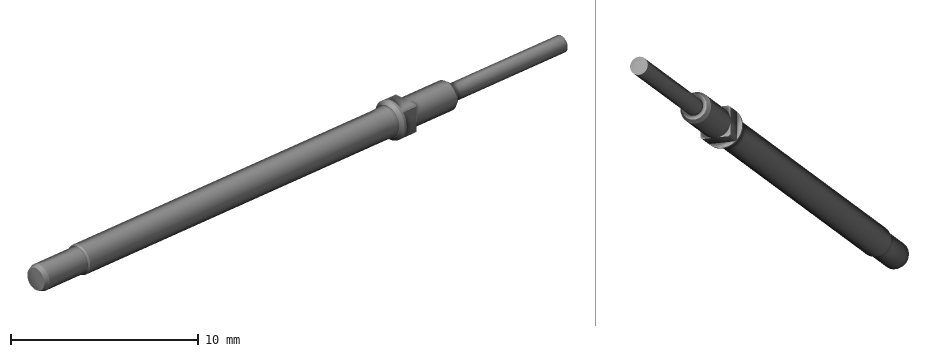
import cadquery as cq

LENGTH = 38.8
REAR_END = LENGTH / 2
FRONT_END = -LENGTH / 2

TAIL_DIAMETER = 1.0
BODY_DIAMETER = 1.75
COLLAR_DIAMETER = 2.3
TAPER_DIAMETER = 1.82
TIP_DIAMETER = 1.55

TAIL_LENGTH = 8.3
REAR_BODY_LENGTH = 3.2
SQUARE_LENGTH = 1.0
COLLAR_LENGTH = 0.35
TAPER_LENGTH = 0.65
TIP_LENGTH = 3.1

SQUARE_SIZE = 1.7

BODY_REAR_CHAMFER_LENGTH = 0.25
BODY_REAR_CHAMFER_DEPTH = 0.15
BODY_FRONT_CHAMFER = 0.08
COLLAR_CHAMFER = 0.2
TIP_CHAMFER_LENGTH = 0.27
TIP_CHAMFER_DEPTH = 0.1

TAIL_RADIUS = TAIL_DIAMETER / 2
BODY_RADIUS = BODY_DIAMETER / 2
COLLAR_RADIUS = COLLAR_DIAMETER / 2
TAPER_RADIUS = TAPER_DIAMETER / 2
TIP_RADIUS = TIP_DIAMETER / 2

BODY_REAR = REAR_END - TAIL_LENGTH
SQUARE_REAR = BODY_REAR - REAR_BODY_LENGTH
COLLAR_REAR = SQUARE_REAR - SQUARE_LENGTH
COLLAR_FRONT = COLLAR_REAR - COLLAR_LENGTH
TAPER_FRONT = COLLAR_FRONT - TAPER_LENGTH
BODY_FRONT = FRONT_END + TIP_LENGTH


def revolve_about_y(half_profile):
    """Turn a list of (y, radius) points, closed along the axis, about Y."""
    outline = cq.Workplane("YZ").polyline(half_profile).close()
    return outline.revolve(360, (0, 0), (1, 0))


def make_rear():
    """Tail and the body length behind the square section."""
    return revolve_about_y([
        (REAR_END, 0),
        (REAR_END, TAIL_RADIUS),
        (BODY_REAR, TAIL_RADIUS),
        (BODY_REAR, BODY_RADIUS - BODY_REAR_CHAMFER_DEPTH),
        (BODY_REAR - BODY_REAR_CHAMFER_LENGTH, BODY_RADIUS),
        (SQUARE_REAR, BODY_RADIUS),
        (SQUARE_REAR, 0),
    ])


def make_square():
    """Square section whose corners are rounded to the collar diameter."""
    plane = cq.Workplane("XZ", origin=(0, SQUARE_REAR, 0))
    square = plane.rect(SQUARE_SIZE, SQUARE_SIZE).extrude(SQUARE_LENGTH)
    round_bar = plane.circle(COLLAR_RADIUS).extrude(SQUARE_LENGTH)
    return square.intersect(round_bar)


def make_front():
    """Collar, taper, long body and tip in front of the square section."""
    return revolve_about_y([
        (COLLAR_REAR, 0),
        (COLLAR_REAR, COLLAR_RADIUS),
        (COLLAR_FRONT + COLLAR_CHAMFER, COLLAR_RADIUS),
        (COLLAR_FRONT, COLLAR_RADIUS - COLLAR_CHAMFER),
        (COLLAR_FRONT, TAPER_RADIUS),
        (TAPER_FRONT, BODY_RADIUS),
        (BODY_FRONT + BODY_FRONT_CHAMFER, BODY_RADIUS),
        (BODY_FRONT, BODY_RADIUS - BODY_FRONT_CHAMFER),
        (BODY_FRONT, TIP_RADIUS),
        (FRONT_END + TIP_CHAMFER_LENGTH, TIP_RADIUS),
        (FRONT_END, TIP_RADIUS - TIP_CHAMFER_DEPTH),
        (FRONT_END, 0),
    ])


result = make_rear().union(make_square()).union(make_front())